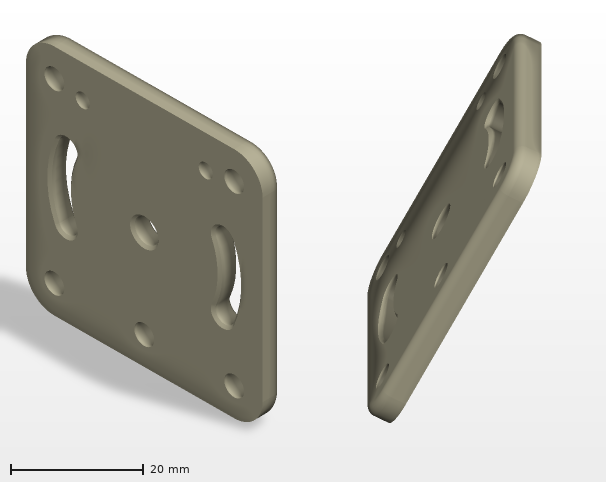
import cadquery as cq
import math

side = 50.0
thickness = 4.0
corner_radius = 6.0
back_edge_radius = 1.5

mount_diameter = 4.2
mount_offset = 19.0
pin_diameter = 3.0
pin_x = 13.0
pin_z = 18.0
center_diameter = 5.0
chamfer = 0.5

slot_radius = 18.0
slot_width = 4.0
slot_half_angle = 23.0

front_y = -thickness / 2


def front_plane():
    """Sketch plane on the front face: local x is X, local y is Z, normal is -Y."""
    return cq.Workplane("XZ", origin=(0, front_y, 0))


def make_plate():
    block = cq.Workplane("XY").box(side, thickness, side)
    return block.edges("|Y").fillet(corner_radius).faces(">Y").edges().fillet(back_edge_radius)


def hole_cutter(points, diameter):
    return front_plane().pushPoints(points).circle(diameter / 2).extrude(-thickness)


def polar(radius, angle):
    """Point at a radius and an angle in degrees from the +X axis."""
    return radius * math.cos(math.radians(angle)), radius * math.sin(math.radians(angle))


def slot_cutter(direction):
    """Curved slot through the plate, centred on the given direction in degrees."""
    start = direction - slot_half_angle
    end = direction + slot_half_angle
    inner = slot_radius - slot_width / 2
    outer = slot_radius + slot_width / 2
    tip = math.degrees(2 * math.asin(slot_width / 4 / slot_radius))
    tip_start = polar(slot_radius, start - tip)
    tip_end = polar(slot_radius, end + tip)
    return (
        front_plane()
        .moveTo(*polar(outer, start))
        .threePointArc(polar(outer, direction), polar(outer, end))
        .threePointArc(tip_end, polar(inner, end))
        .threePointArc(polar(inner, direction), polar(inner, start))
        .threePointArc(tip_start, polar(outer, start))
        .close()
        .extrude(-thickness)
    )


mount_points = [(x, z) for x in (-mount_offset, mount_offset) for z in (-mount_offset, mount_offset)]
mount_points.append((0, -mount_offset))
pin_points = [(-pin_x, pin_z), (pin_x, pin_z)]

result = make_plate()
result = result.cut(hole_cutter(mount_points, mount_diameter))
result = result.cut(hole_cutter(pin_points, pin_diameter))

result = result.cut(hole_cutter([(0, 0)], center_diameter))
for direction in (0, 180):
    result = result.cut(slot_cutter(direction))

rim_reach = slot_radius + slot_width
rim_height = slot_radius * math.sin(math.radians(slot_half_angle)) + slot_width
for face_y in (front_y, -front_y):
    rim_box = cq.selectors.BoxSelector(
        (-rim_reach, face_y - chamfer / 2, -rim_height),
        (rim_reach, face_y + chamfer / 2, rim_height),
    )
    result = result.edges(rim_box).chamfer(chamfer)